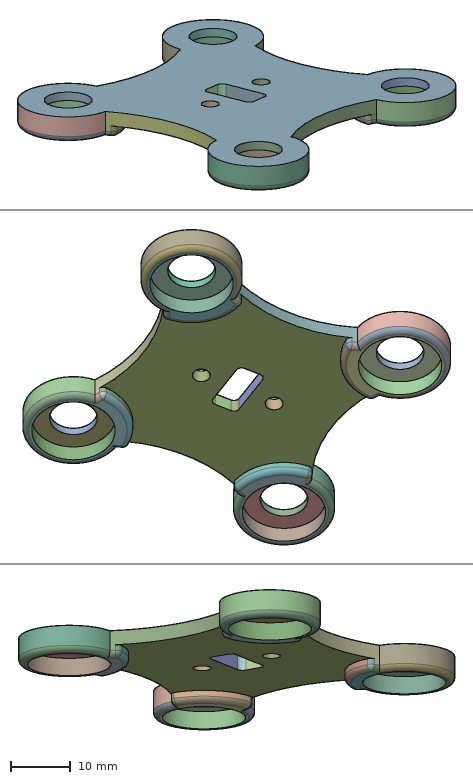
import cadquery as cq
import math

TOTAL_HEIGHT = 4.5
PLATE_THICKNESS = 2.5
WAIST_HALF_WIDTH = 18.2
SIDE_ARC_RADIUS = 28

PAD_DIAMETER = 17.0
PAD_SPAN_X = 57.75 - PAD_DIAMETER
PAD_SPAN_Y = 57.49 - PAD_DIAMETER
ODD_PAD_SHIFT = 0.25
PAD_CENTRES = [
    (PAD_SPAN_X / 2, PAD_SPAN_Y / 2),
    (-PAD_SPAN_X / 2, PAD_SPAN_Y / 2),
    (PAD_SPAN_X / 2, -PAD_SPAN_Y / 2),
    (-PAD_SPAN_X / 2 + ODD_PAD_SHIFT, -PAD_SPAN_Y / 2 + ODD_PAD_SHIFT),
]

FOOT_RADIUS = 10.0
FOOT_FILLET = 1.0

PAD_HOLE_DIAMETER = 8.0
POCKET_DIAMETER = 14.0
POCKET_DEPTH = 3.0

SLOT_LENGTH = 10.0
SLOT_WIDTH = 5.0
SLOT_CORNER_RADIUS = 1.0
SCREW_HOLE_DIAMETER = 3.0
SCREW_HOLE_OFFSET = 7.0


def cylinder(centre, radius, bottom, height):
    """Upright cylinder whose seam line faces the middle of the plate, clear of the rounded edges."""
    x, y = centre
    plane = cq.Plane(origin=(x, y, bottom), xDir=(-x, -y, 0), normal=(0, 0, 1))
    return cq.Workplane(plane).circle(radius).extrude(height)


def outline_prism(bottom, height):
    """Full plan outline: concave web plus the four corner pads."""
    web = (
        cq.Workplane("XY", origin=(0, 0, bottom))
        .rect(PAD_SPAN_X + PAD_DIAMETER / 2, PAD_SPAN_Y + PAD_DIAMETER / 2)
        .extrude(height)
    )
    arc_offset = WAIST_HALF_WIDTH + SIDE_ARC_RADIUS
    for side in range(4):
        angle = math.pi / 2 * side
        centre = (arc_offset * math.cos(angle), arc_offset * math.sin(angle))
        web = web.cut(cylinder(centre, SIDE_ARC_RADIUS, bottom, height))
    for centre in PAD_CENTRES:
        web = web.union(cylinder(centre, PAD_DIAMETER / 2, bottom, height))
    return web


def foot(centre):
    """Foot with rounded inner corners and a rounded bottom rim."""
    blank = cylinder(centre, FOOT_RADIUS, 0, TOTAL_HEIGHT)
    blank = blank.intersect(outline_prism(0, TOTAL_HEIGHT))
    corners = blank.edges("|Z").filter(
        lambda edge: math.dist(edge.Center().toTuple()[:2], centre) > FOOT_RADIUS - FOOT_FILLET
    )
    return corners.add(blank.faces("<Z").edges()).fillet(FOOT_FILLET)


def cut_pad_hole(body, centre):
    body = body.cut(cylinder(centre, PAD_HOLE_DIAMETER / 2, 0, TOTAL_HEIGHT))
    return body.cut(cylinder(centre, POCKET_DIAMETER / 2, 0, POCKET_DEPTH))


def cut_centre_openings(body):
    slot = cq.Workplane("XY").box(SLOT_LENGTH, SLOT_WIDTH, 2 * TOTAL_HEIGHT)
    body = body.cut(slot.edges("|Z").fillet(SLOT_CORNER_RADIUS))
    for y in (-SCREW_HOLE_OFFSET, SCREW_HOLE_OFFSET):
        body = body.cut(cylinder((0, y), SCREW_HOLE_DIAMETER / 2, 0, TOTAL_HEIGHT))
    return body


body = outline_prism(TOTAL_HEIGHT - PLATE_THICKNESS, PLATE_THICKNESS)
for pad_centre in PAD_CENTRES:
    body = body.union(foot(pad_centre))
for pad_centre in PAD_CENTRES:
    body = cut_pad_hole(body, pad_centre)

result = cut_centre_openings(body)